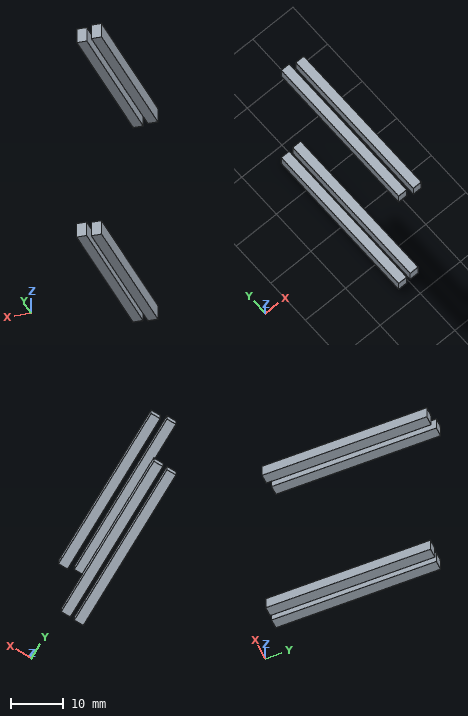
import cadquery as cq

bar_width = 2.0
bar_length = 34.0
bar_height = 3.0

overall_width = 5.15
overall_length = 34.7
overall_height = 45.9

lower_right_inset = 0.2
left_back_inset = 0.1
lower_right_lift = 0.2

right_x = overall_width - bar_width
upper_z = overall_height - bar_height
back_y = overall_length - bar_length
left_y = back_y - left_back_inset

bar_corners = [
    (0, left_y, upper_z),
    (right_x, 0, upper_z),
    (0, left_y, 0),
    (right_x - lower_right_inset, back_y, lower_right_lift),
]


def make_bar(corner):
    """Plain rectangular bar lying along Y, placed by its left, front, bottom corner."""
    bar = cq.Workplane("XY").box(bar_width, bar_length, bar_height, centered=False)
    return bar.translate(corner)


bars = [make_bar(corner).val() for corner in bar_corners]

result = cq.Compound.makeCompound(bars)